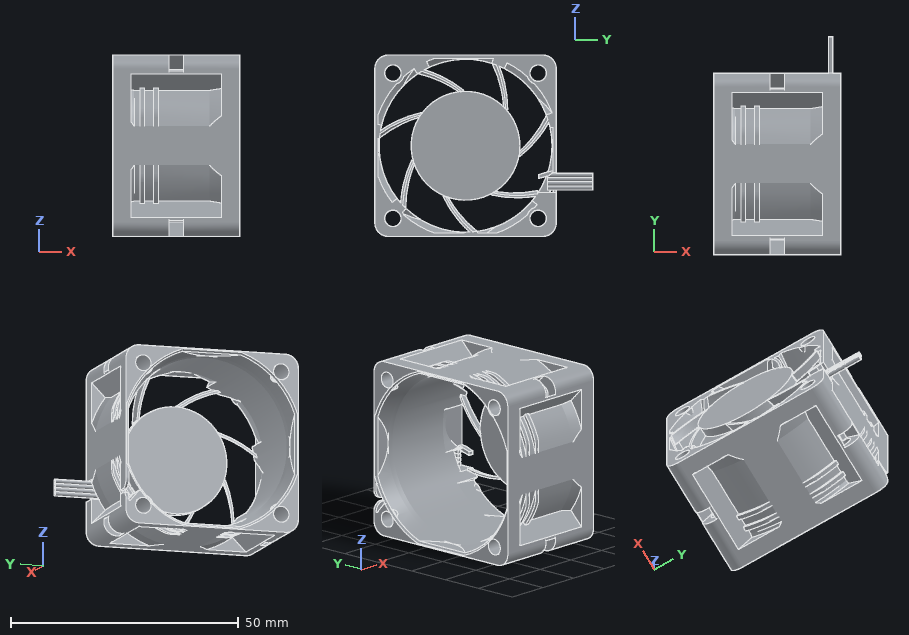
import cadquery as cq
import math

DEPTH = 28.0
WIDTH = 40.0
HALF = WIDTH / 2
CORNER_R = 3.0
MIDDLE = DEPTH / 2

BORE_R = 19.0
FLARE_R = 20.4
FLAT_HALF = 19.25
THROAT_START = 3.85
THROAT_END = 5.05
RIM_CHAMFER = 0.5

BOLT_OFFSET = 16.0
BOLT_D = 3.55
COLLAR_R = 2.5

WINDOW_START = 4.0
WINDOW_END = 24.0
WALL_R = 20.45
WALL_FRONT_R = 20.7
WALL_FRONT_LENGTH = 0.75
WALL_REAR_R = 21.05
WALL_REAR_LENGTH = 2.7
WEB_WIDTH = 6.0
RIB_STARTS = (6.0, 9.0)
RIB_WIDTH = 1.05
RIB_R = 21.2
RIB_BLEND_R = 4.8

SLOT_LENGTH = 3.1
SLOT_WIDTH = 5.0
SLOT_FLOOR_R = 21.2

HUB_R = 12.0
HUB_FRONT = 25.9
STRUT_COUNT = 7
STRUT_PITCH = 360 / STRUT_COUNT
STRUT_THICKNESS = 0.55
STRUT_TWIST = -3.0
STRUT_ARC = ((16.8, -9.9), (12.0, -10.6), (6.25, -10.25))
POCKET_START = 21.5
POCKET_TOP_ANGLE = -39.5
POCKET_FRONT_ANGLE = -69.5
POCKET_REAR_ANGLE = -82.0
WIRE_FOOT_ANGLE = -17.5

WIRE_COUNT = 4
WIRE_D = 1.0
RIBBON_HEIGHT = 3.8
WIRE_PITCH = (RIBBON_HEIGHT - WIRE_D) / (WIRE_COUNT - 1)
WIRE_X = 25.75
WIRE_TOP = -6.0
WIRE_INNER_Y = 18.0
OVERALL_LENGTH = 48.0
WIRE_OUTER_Y = OVERALL_LENGTH - HALF

CHANNEL_TOP = -8.45
CHANNEL_BOTTOM = -15.0
CHANNEL_OUTER_Y = 19.3
CHANNEL_INNER_R = FLARE_R + RIM_CHAMFER
CHANNEL_CORNER = (16.9, -12.6)
CHANNEL_BEVEL_Y = 19.0
MOUTH_TOP = -10.0
MOUTH_NECK_TOP = -12.1
MOUTH_NECK_BOTTOM = -12.9
LIP_R = MOUTH_TOP - MOUTH_NECK_TOP

EXIT_TOP = -5.9
EXIT_BOTTOM = -10.25
EXIT_INNER_Y = 15.85
TAB_FRONT = 26.8
TAB_POINTS = [(19.7, -5.5), (18.25, -5.65), (16.1, -6.35), (16.1, -7.2), (18.25, -6.65)]

CORNER_ANGLES = (45, 135, 225, 315)
OVERSIZE = 2 * WIDTH


def x_box(start, end, width_y, width_z):
    """Block centred on the fan axis, between two stations along X."""
    return cq.Workplane("YZ", origin=(start, 0, 0)).rect(width_y, width_z).extrude(end - start)


def revolved(profile):
    """Solid of revolution about the fan axis under a list of (x, radius) points."""
    points = [(profile[0][0], 0)] + profile + [(profile[-1][0], 0)]
    return cq.Workplane("XY").polyline(points).close().revolve(360, (0, 0, 0), (1, 0, 0))


def turned(body, angle):
    """Body turned about the fan axis."""
    return body.rotate((0, 0, 0), (1, 0, 0), angle)


def bolt_cylinders(diameter):
    """Cylinders along the four bolt axes, over the full depth."""
    pitch = 2 * BOLT_OFFSET
    centres = cq.Workplane("YZ").rect(pitch, pitch, forConstruction=True).vertices()
    return centres.circle(diameter / 2).extrude(DEPTH)


def outer_block():
    return x_box(0, DEPTH, WIDTH, WIDTH).edges("|X").fillet(CORNER_R)


def inlet_flare():
    profile = [(0, FLARE_R), (RIM_CHAMFER, FLARE_R), (THROAT_START, FLAT_HALF), (THROAT_END, BORE_R)]
    flats = x_box(0, DEPTH, 2 * FLAT_HALF, 2 * FLAT_HALF)
    return revolved(profile).intersect(flats).cut(bolt_cylinders(2 * COLLAR_R))


def inlet_chamfer():
    """Bevel that widens both the round and the flat stretches of the inlet edge."""
    flat_at_face = 2 * (FLAT_HALF + RIM_CHAMFER)
    flat_inside = 2 * FLAT_HALF
    cone = revolved([(0, FLARE_R + RIM_CHAMFER), (RIM_CHAMFER, FLARE_R)])
    pyramid = (
        cq.Workplane("YZ")
        .rect(flat_at_face, flat_at_face)
        .workplane(offset=RIM_CHAMFER)
        .rect(flat_inside, flat_inside)
        .loft(ruled=True)
    )
    return cone.intersect(pyramid)


def rib_plate(start):
    """Rounded square plate whose edge forms one rib around the duct wall."""
    disc = cq.Workplane("YZ", origin=(start, 0, 0)).circle(RIB_R).extrude(RIB_WIDTH)
    plate = disc.intersect(x_box(start, start + RIB_WIDTH, WIDTH, WIDTH))
    return plate.edges("|X").fillet(RIB_BLEND_R)


def side_windows():
    windows = x_box(WINDOW_START, WINDOW_END, WIDTH + 0.5, WIDTH + 0.5)
    wall = [
        (WINDOW_START, WALL_FRONT_R),
        (WINDOW_START + WALL_FRONT_LENGTH, WALL_R),
        (WINDOW_END - WALL_REAR_LENGTH, WALL_R),
        (WINDOW_END, WALL_REAR_R),
    ]
    windows = windows.cut(revolved(wall))
    web = x_box(WINDOW_START, WINDOW_END, OVERSIZE, WEB_WIDTH)
    for angle in CORNER_ANGLES[:2]:
        windows = windows.cut(turned(web, angle))
    for start in RIB_STARTS:
        windows = windows.cut(rib_plate(start))
    return windows


def corner_slot(angle):
    slot = cq.Workplane("XY").box(SLOT_LENGTH, HALF, SLOT_WIDTH, centered=(True, False, True))
    return turned(slot.translate((MIDDLE, SLOT_FLOOR_R, 0)), angle)


def wedge(front_angles, rear_angles):
    """Wedge from the fan axis outward, spanning two angles at its front and two at its rear."""

    def outline(angles):
        first, last = angles
        rim_angles = [math.radians(a) for a in (first, (first + last) / 2, last)]
        return [(0, 0)] + [(WIDTH * math.cos(a), WIDTH * math.sin(a)) for a in rim_angles]

    front = cq.Workplane("YZ", origin=(POCKET_START, 0, 0)).polyline(outline(front_angles)).close()
    rear = front.workplane(offset=DEPTH - POCKET_START).polyline(outline(rear_angles)).close()
    return rear.loft(ruled=True)


def outlet_pockets():
    """Tapered widenings of the bore between neighbouring strut feet."""
    cone = revolved([(POCKET_START, BORE_R), (DEPTH, FLARE_R)])
    flats = x_box(POCKET_START, DEPTH, 2 * FLAT_HALF, 2 * FLAT_HALF)
    wire_foot_span = (WIRE_FOOT_ANGLE, POCKET_TOP_ANGLE)
    wire_foot = wedge(wire_foot_span, wire_foot_span)
    limit = cone.intersect(flats).cut(bolt_cylinders(2 * COLLAR_R)).cut(wire_foot)
    opening = wedge((POCKET_TOP_ANGLE, POCKET_FRONT_ANGLE), (POCKET_TOP_ANGLE, POCKET_REAR_ANGLE))
    return [limit.intersect(turned(opening, i * STRUT_PITCH)) for i in range(STRUT_COUNT)]


def strut(index):
    """Curved blade from the hub to the bore, leaning as it runs toward the outlet."""
    outer_end, middle, inner_end = STRUT_ARC
    half = STRUT_THICKNESS / 2

    def shifted(point, dz):
        return point[0], point[1] + dz

    blade = (
        cq.Workplane("YZ", origin=(HUB_FRONT, 0, 0))
        .moveTo(*shifted(outer_end, half))
        .threePointArc(shifted(middle, half), shifted(inner_end, half))
        .lineTo(*shifted(inner_end, -half))
        .threePointArc(shifted(middle, -half), shifted(outer_end, -half))
        .close()
        .twistExtrude(DEPTH - HUB_FRONT, STRUT_TWIST)
    )
    return turned(blade.cut(hub_disc()), index * STRUT_PITCH)


def hub_disc():
    return cq.Workplane("YZ", origin=(HUB_FRONT, 0, 0)).circle(HUB_R).extrude(DEPTH - HUB_FRONT)


def wire_channel():
    """Passage through the inlet flange into the +Y window, outside the duct wall."""

    def on_duct(z):
        return math.sqrt(CHANNEL_INNER_R ** 2 - z ** 2), z

    return (
        cq.Workplane("YZ")
        .moveTo(CHANNEL_OUTER_Y, CHANNEL_TOP)
        .lineTo(*on_duct(CHANNEL_TOP))
        .threePointArc(on_duct((CHANNEL_TOP + CHANNEL_CORNER[1]) / 2), on_duct(CHANNEL_CORNER[1]))
        .lineTo(*CHANNEL_CORNER)
        .lineTo(CHANNEL_BEVEL_Y, CHANNEL_BOTTOM)
        .lineTo(CHANNEL_OUTER_Y, CHANNEL_BOTTOM)
        .close()
        .extrude(WINDOW_START)
    )


def channel_mouth():
    """Opening of the channel to the +Y face, between two rounded lips."""
    arc_mid = LIP_R * math.sqrt(0.5)
    mouth_bottom = MOUTH_NECK_BOTTOM - LIP_R
    return (
        cq.Workplane("XZ", origin=(0, HALF, 0))
        .moveTo(0, MOUTH_TOP)
        .threePointArc((LIP_R - arc_mid, MOUTH_TOP - arc_mid), (LIP_R, MOUTH_NECK_TOP))
        .lineTo(WINDOW_START, MOUTH_NECK_TOP)
        .lineTo(WINDOW_START, MOUTH_NECK_BOTTOM)
        .lineTo(LIP_R, MOUTH_NECK_BOTTOM)
        .threePointArc((LIP_R - arc_mid, mouth_bottom + arc_mid), (0, mouth_bottom))
        .close()
        .extrude(HALF - CHANNEL_BEVEL_Y)
    )


def wire_exit():
    size = (DEPTH - WINDOW_END, HALF - EXIT_INNER_Y, EXIT_TOP - EXIT_BOTTOM)
    corner = (WINDOW_END, EXIT_INNER_Y, EXIT_BOTTOM)
    return cq.Workplane("XY").box(*size, centered=False).translate(corner)


def wire_tab():
    outline = cq.Workplane("YZ", origin=(TAB_FRONT, 0, 0)).polyline(TAB_POINTS).close()
    return outline.extrude(DEPTH - TAB_FRONT)


def make_frame():
    frame = outer_block().cut(side_windows())
    frame = frame.cut(revolved([(0, BORE_R), (DEPTH, BORE_R)]))
    frame = frame.cut(inlet_flare()).cut(inlet_chamfer())
    for pocket in outlet_pockets():
        frame = frame.cut(pocket)
    for angle in CORNER_ANGLES:
        frame = frame.cut(corner_slot(angle))
    frame = frame.cut(bolt_cylinders(BOLT_D))
    frame = frame.cut(wire_channel()).cut(channel_mouth())
    for index in range(STRUT_COUNT):
        frame = frame.union(strut(index))
    return frame.cut(wire_exit()).union(wire_tab())


def make_cable():
    """Four wires that overlap slightly, fused into one flat ribbon."""
    length = WIRE_OUTER_Y - WIRE_INNER_Y
    cable = None
    for index in range(WIRE_COUNT):
        z = WIRE_TOP - WIRE_D / 2 - index * WIRE_PITCH
        wire = cq.Workplane("XZ", origin=(WIRE_X, WIRE_OUTER_Y, z)).circle(WIRE_D / 2).extrude(length)
        cable = wire if cable is None else cable.union(wire)
    return cable


frame = make_frame()
hub = hub_disc()
cable = make_cable()

result = cq.Compound.makeCompound([*frame.solids().vals(), hub.val(), *cable.solids().vals()])